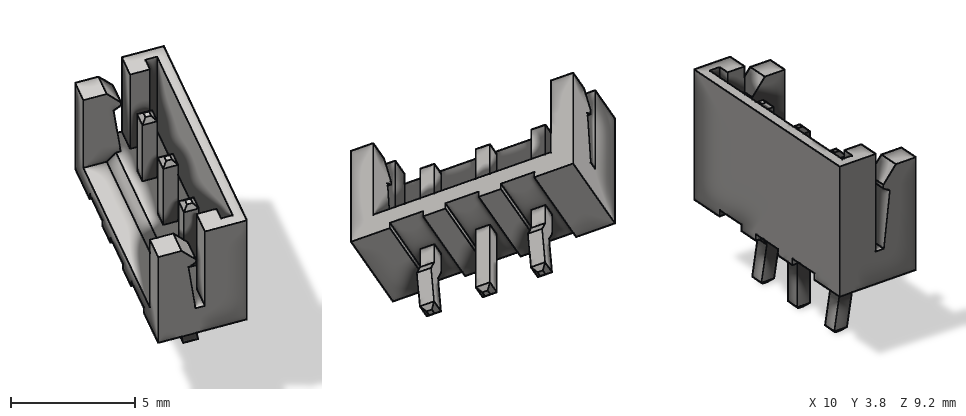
import cadquery as cq


length = 10.0
back_y = 1.6
front_y = -2.2
height = 6.0
floor_z = 1.5
back_wall = 0.45
end_wall = 1.0
cavity_length = length - 2 * end_wall

groove_length = 9.1
groove_depth = 0.5

sill_z = 1.1
sill_top_y = -0.8
sill_bottom_y = -1.2

post_front_y = -0.2
arm_z = 5.2
arm_top_y = -1.2
hook_tip_y = -0.58
hook_upper_z = 4.45
hook_lower_z = 4.28
hook_root_y = -0.9
hook_root_z = 4.08
arm_base_y = -0.6

notch_width = 1.5
notch_depth = 0.3

pin_count = 3
pitch = 2.5
pin_size = 0.64
pin_top_z = 5.1
pin_bottom_z = -3.2
tip_taper = 0.2

kink_start_z = -0.73
kink_z = -1.33
kink_offset = -0.3
tail_end_offset = -0.03


def box(x_size, y_min, y_max, z_min, z_max, x_center=0.0):
    """Axis-aligned box centred on x_center."""
    return (
        cq.Workplane("XY")
        .box(x_size, y_max - y_min, z_max - z_min, centered=(True, False, False))
        .translate((x_center, y_min, z_min))
    )


def side_profile(points, x_size, x_center=0.0):
    """Prism of a (Y, Z) outline, centred on x_center along X."""
    prism = cq.Workplane("YZ").polyline(points).close().extrude(x_size / 2, both=True)
    return prism.translate((x_center, 0, 0))


def make_cavity():
    """Space between the end walls, open at the top and front, with back grooves."""
    cavity_back_y = back_y - back_wall
    opening = side_profile(
        [
            (cavity_back_y, height),
            (cavity_back_y, floor_z),
            (sill_top_y, floor_z),
            (sill_bottom_y, sill_z),
            (front_y, sill_z),
            (front_y, height),
        ],
        cavity_length,
    )
    grooves = box(groove_length, cavity_back_y - groove_depth, cavity_back_y, floor_z, height)
    return opening.union(grooves)


def make_latch_gap():
    """Cut through both end walls that frees the hooked latch arms."""
    return side_profile(
        [
            (post_front_y, height),
            (post_front_y, floor_z),
            (arm_base_y, floor_z),
            (hook_root_y, hook_root_z),
            (hook_tip_y, hook_lower_z),
            (hook_tip_y, hook_upper_z),
            (arm_top_y, arm_z),
            (front_y, arm_z),
            (front_y, height),
        ],
        length,
    )


def make_housing(pin_positions):
    housing = box(length, front_y, back_y, 0, height)
    housing = housing.cut(make_cavity()).cut(make_latch_gap())
    for x in pin_positions:
        housing = housing.cut(box(notch_width, front_y, back_y, 0, notch_depth, x))
    return housing


def make_tip(x, y, z, direction):
    """Square pin tip that narrows upward (direction 1) or downward (-1)."""
    end_size = pin_size - 2 * tip_taper
    return (
        cq.Workplane("XY", origin=(x, y, z))
        .rect(pin_size, pin_size)
        .workplane(offset=direction * tip_taper)
        .rect(end_size, end_size)
        .loft(ruled=True)
    )


def make_pin(x, kinked):
    """Square pin with tapered tips; a kinked pin bows forward below the housing."""
    half = pin_size / 2
    shoulder_top_z = pin_top_z - tip_taper
    shoulder_bottom_z = pin_bottom_z + tip_taper
    center_line = [(0, shoulder_top_z)]
    tail_y = 0
    if kinked:
        tail_y = tail_end_offset
        center_line += [(0, kink_start_z), (kink_offset, kink_z)]
    center_line.append((tail_y, shoulder_bottom_z))

    back_edge = [(y + half, z) for y, z in center_line]
    front_edge = [(y - half, z) for y, z in reversed(center_line)]
    shaft = side_profile(back_edge + front_edge, pin_size, x)
    top_tip = make_tip(x, 0, shoulder_top_z, 1)
    bottom_tip = make_tip(x, tail_y, shoulder_bottom_z, -1)
    return shaft.union(top_tip).union(bottom_tip)


pin_positions = [(i - (pin_count - 1) / 2) * pitch for i in range(pin_count)]

result = make_housing(pin_positions)
for x in pin_positions:
    is_outer = x in (pin_positions[0], pin_positions[-1])
    result = result.union(make_pin(x, is_outer))